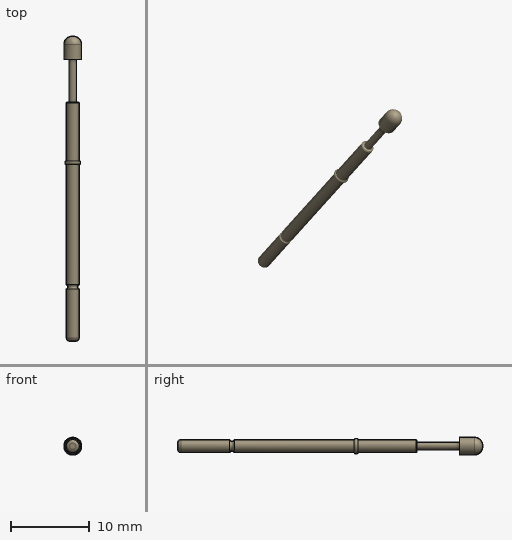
import cadquery as cq
import math

length = 38.7

head_radius = 2.3 / 2
head_length = 2.98
head_fillet = 1.1

plunger_radius = 1.0 / 2

barrel_radius = 1.65 / 2
barrel_length = 30.35
mouth_chamfer = 0.1
tail_fillet = 0.43

ring_radius = 2.0 / 2
ring_width = 0.5
ring_center = 22.65

groove_radius = 1.28 / 2
groove_width = 0.58
groove_center = 6.9

tail_y = -length / 2
tip_y = length / 2
mouth_y = tail_y + barrel_length
head_back_y = tip_y - head_length
ring_y = tail_y + ring_center
groove_y = tail_y + groove_center


def quarter_arc_middle(center_y, center_radius, arc_radius, side):
    """Middle of an outer quarter arc; side is 1 for an arc facing +Y and -1 for one facing -Y."""
    reach = arc_radius * math.cos(math.pi / 4)
    return (center_y + side * reach, center_radius + reach)


def add_tail(outline):
    """Flat end face with a rounded edge, ending on the barrel surface."""
    center_y = tail_y + tail_fillet
    center_radius = barrel_radius - tail_fillet
    return outline.lineTo(tail_y, center_radius).threePointArc(
        quarter_arc_middle(center_y, center_radius, tail_fillet, -1),
        (center_y, barrel_radius),
    )


def add_arch(outline, center_y, width, middle_radius):
    """Arc that leaves the barrel surface, reaches middle_radius and returns to the surface."""
    return outline.lineTo(center_y - width / 2, barrel_radius).threePointArc(
        (center_y, middle_radius),
        (center_y + width / 2, barrel_radius),
    )


def add_crimp_groove(outline):
    """Round-bottomed groove sunk into the barrel."""
    return add_arch(outline, groove_y, groove_width, groove_radius)


def add_press_ring(outline):
    """Rounded bead standing proud of the barrel."""
    return add_arch(outline, ring_y, ring_width, ring_radius)


def add_mouth(outline):
    """Chamfered open end of the barrel, stepping in to the plunger."""
    return (
        outline.lineTo(mouth_y - mouth_chamfer, barrel_radius)
        .lineTo(mouth_y, barrel_radius - mouth_chamfer)
        .lineTo(mouth_y, plunger_radius)
    )


def add_head(outline):
    """Cylindrical head with a rounded, nearly spherical tip."""
    center_y = tip_y - head_fillet
    center_radius = head_radius - head_fillet
    return (
        outline.lineTo(head_back_y, plunger_radius)
        .lineTo(head_back_y, head_radius)
        .lineTo(center_y, head_radius)
        .threePointArc(
            quarter_arc_middle(center_y, center_radius, head_fillet, 1),
            (tip_y, center_radius),
        )
        .lineTo(tip_y, 0)
    )


half_section = cq.Workplane("YZ").moveTo(tail_y, 0)
for add_feature in (add_tail, add_crimp_groove, add_press_ring, add_mouth, add_head):
    half_section = add_feature(half_section)

result = half_section.close().revolve(360, (0, 0, 0), (1, 0, 0))